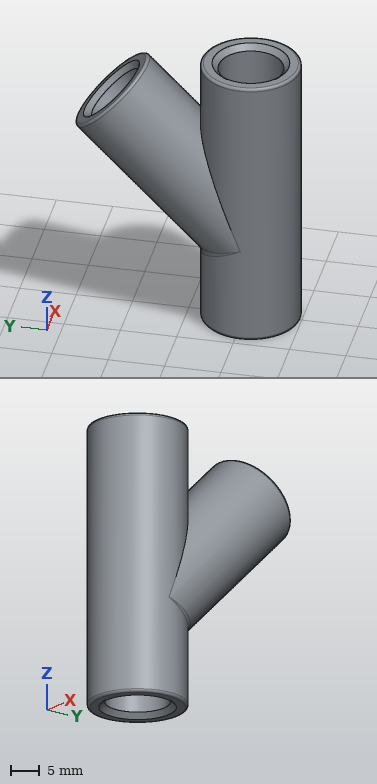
import cadquery as cq
import math

outer_diameter = 17.5
bore_diameter = 11.4
main_length = 51.0
overall_depth = 39.45
junction_height = 17.9
branch_angle = 45.0
rim_round = 0.5
mouth_chamfer = 1.0
crotch_round = 2.0

outer_radius = outer_diameter / 2
bore_radius = bore_diameter / 2

tilt = math.radians(branch_angle)
branch_reach = overall_depth - outer_radius
rim_reach = (outer_radius - rim_round) * math.cos(tilt) + rim_round
branch_length = (branch_reach - rim_reach) / math.sin(tilt) + rim_round

main_base = cq.Plane(origin=(0, 0, 0))
main_top_down = cq.Plane(origin=(0, 0, main_length), xDir=(1, 0, 0), normal=(0, 0, -1))
branch_base = cq.Plane(
    origin=(0, 0, junction_height),
    xDir=(1, 0, 0),
    normal=(0, math.sin(tilt), math.cos(tilt)),
)


def rod(plane, radius, length):
    """Solid cylinder standing on a plane."""
    return cq.Workplane(plane).circle(radius).extrude(length)


def flared_mouth(plane, length):
    """Conical cutter that chamfers the bore at the far end of a tube."""
    return (
        cq.Workplane(plane)
        .workplane(offset=length - mouth_chamfer)
        .circle(bore_radius)
        .workplane(offset=mouth_chamfer)
        .circle(bore_radius + mouth_chamfer)
        .loft(ruled=True)
    )


main_rod = rod(main_base, outer_radius, main_length).faces("<Z or >Z").edges().fillet(rim_round)
branch_rod = rod(branch_base, outer_radius, branch_length)
branch_tip = cq.selectors.DirectionMinMaxSelector(branch_base.zDir)
branch_rod = branch_rod.faces(branch_tip).edges().fillet(rim_round)
body = main_rod.union(branch_rod)

crotch_height = junction_height - outer_radius * math.tan(tilt / 2)
crotch_zone = cq.selectors.BoxSelector(
    (-outer_radius, 0, crotch_height),
    (outer_radius, outer_radius, junction_height),
)
body = body.edges(crotch_zone).edges("not %LINE").fillet(crotch_round)


body = body.cut(rod(main_base, bore_radius, main_length))
body = body.cut(rod(branch_base, bore_radius, branch_length))
for plane, length in (
    (main_base, main_length),
    (main_top_down, main_length),
    (branch_base, branch_length),
):
    body = body.cut(flared_mouth(plane, length))

result = body